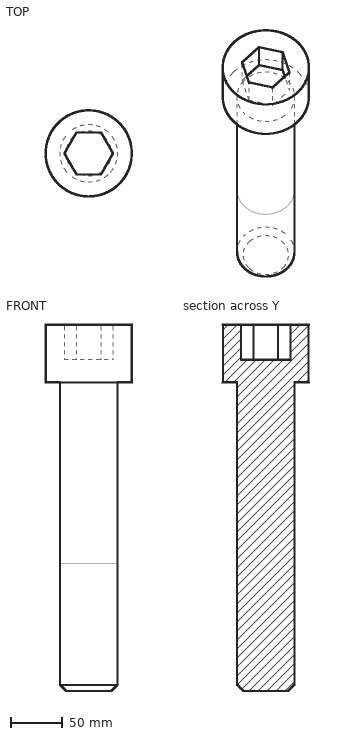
import cadquery as cq
import math

thread_diameter = 56.0
shank_length = 300.0
thread_length = 124.0
tip_chamfer = 6.0
head_diameter = 84.0
socket_across_flats = 41.0
socket_depth = 34.0

head_height = thread_diameter
plain_length = shank_length - thread_length
hexagon_sides = 6
socket_across_corners = socket_across_flats / math.cos(math.pi / hexagon_sides)


def head():
    """Plain cylindrical head above the bearing plane."""
    return cq.Workplane("XY").circle(head_diameter / 2).extrude(head_height)


def plain_shank():
    """Unthreaded part of the shank, just below the head."""
    return cq.Workplane("XY").circle(thread_diameter / 2).extrude(-plain_length)


def threaded_end():
    """Thread envelope at its major diameter, chamfered at the tip."""
    return (
        cq.Workplane("XY", origin=(0, 0, -shank_length))
        .circle(thread_diameter / 2)
        .extrude(thread_length)
        .faces("<Z")
        .chamfer(tip_chamfer)
    )


def hex_socket():
    """Hexagonal drive recess with two corners in line with the X axis."""
    return (
        cq.Workplane("XY", origin=(0, 0, head_height))
        .polygon(hexagon_sides, socket_across_corners)
        .extrude(-socket_depth)
    )


result = head().union(plain_shank()).union(threaded_end()).cut(hex_socket())